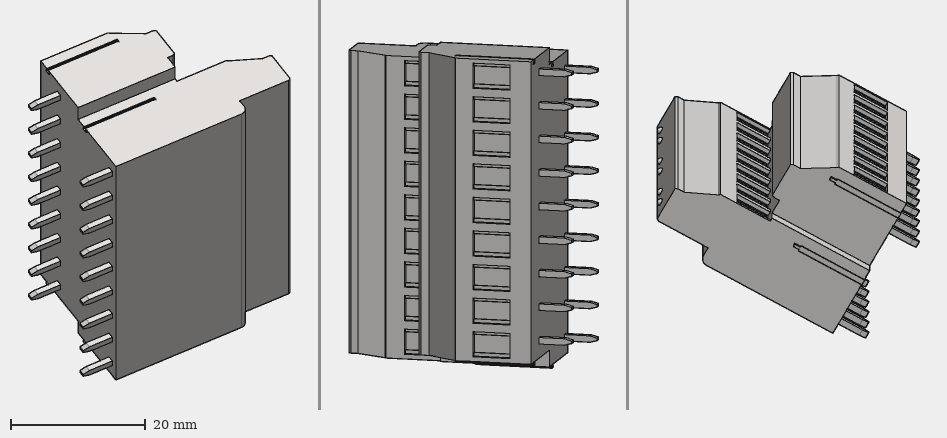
import cadquery as cq

pole_count = 9
pitch = 5.1
row_height = 45.85
row_offset = pitch / 2
joint_x = 11.1
total_width = 22.3
front_top_y = 18.0
tall_top_y = 31.45
joint_top_y = 16.65
top_bevel_width = 0.2
top_bevel_height = 0.4
wall_bevel = 0.2

front_wall_y = 11.55
front_slope_end = (3.0, 16.35)
front_top_right_x = 8.85

tall_wall_x = 11.65
tall_wall_y = 25.1
tall_slope_end = (13.95, 30.0)
tall_top_right_x = 19.8
shoulder_y = 22.65
shoulder_radius = 1.1

window_width = 5.65
window_height = 3.8
window_gap = (pitch - window_height) / 2
window_band = 0.55
window_depth = 0.65
window_extra_depth = 0.2
front_window_y = 3.22
tall_window_y = joint_top_y

dovetail_xs = (2.05, 13.05)
neck_width = 0.45
head_width = 0.9
head_land = 0.2
rib_height = 0.5
rib_length = 11.8
rib_tip_length = 1.0
groove_depth = 0.7
groove_length = 12.05

pin_xs = (5.4, 20.7)
pin_size = 1.0
pin_length = 5.0
pin_taper_length = 1.07
pin_tip_height = 0.4

bump_boundaries = (1, 2, 4, 5, 7, 8)
bump_x = 18.45
bump_radius = 0.55

front_bottom_z = row_offset
front_top_z = front_bottom_z + row_height
tall_top_z = row_height


def row_body(points, bottom_z):
    return cq.Workplane("XY", origin=(0, 0, bottom_z)).polyline(points).close().extrude(row_height)


def wall_and_slope(wall_x, wall_y, slope_end):
    """Outline points from the top of a wall, over its bevel, to the upper end of the slope."""
    return [(wall_x, wall_y), (wall_x + wall_bevel, wall_y + wall_bevel), slope_end]


def beveled_top(left_x, right_x, top_y):
    """Outline points of a flat top with both corners beveled."""
    bevel_y = top_y - top_bevel_height
    return [
        (left_x, bevel_y),
        (left_x + top_bevel_width, top_y),
        (right_x - top_bevel_width, top_y),
        (right_x, bevel_y),
    ]


def front_row():
    outline = [
        (0, 0),
        *wall_and_slope(0, front_wall_y, front_slope_end),
        *beveled_top(front_slope_end[0], front_top_right_x, front_top_y),
        (front_top_right_x, joint_top_y),
        (joint_x, joint_top_y),
        (joint_x, 0),
    ]
    return row_body(outline, front_bottom_z)


def tall_row():
    outline = [
        (joint_x, 0),
        (joint_x, joint_top_y),
        (tall_wall_x, joint_top_y),
        *wall_and_slope(tall_wall_x, tall_wall_y, tall_slope_end),
        *beveled_top(tall_slope_end[0], tall_top_right_x, tall_top_y),
        (tall_top_right_x, shoulder_y),
        (total_width, shoulder_y),
        (total_width, 0),
    ]
    body = row_body(outline, 0)
    shoulder_point = (total_width, shoulder_y, row_height / 2)
    shoulder_edge = body.edges(cq.selectors.NearestToPointSelector(shoulder_point))
    return shoulder_edge.fillet(shoulder_radius)


def windows(wall_x, low_y, row_top_z):
    """Cutters for one column of windows in a wall facing -X."""
    cutters = cq.Workplane("XY")
    middle_height = window_height - 2 * window_band
    for pole in range(pole_count):
        bottom_z = row_top_z - window_gap - window_height - pole * pitch
        recess = cq.Workplane("XY").box(window_depth, window_width, window_height, centered=False)
        middle = (
            cq.Workplane("XY", origin=(0, 0, window_band))
            .box(window_depth + window_extra_depth, window_width, middle_height, centered=False)
        )
        cutters = cutters.add(recess.union(middle).translate((wall_x, low_y, bottom_z)))
    return cutters.combine()


def dovetail(x, face_z, height, length):
    """Dovetail along Y that widens as it goes down from face_z."""
    half_neck = neck_width / 2
    half_head = head_width / 2
    land_z = head_land - height
    profile = [
        (-half_neck, 0),
        (-half_head, land_z),
        (-half_head, -height),
        (half_head, -height),
        (half_head, land_z),
        (half_neck, 0),
    ]
    return cq.Workplane("XZ", origin=(x, 0, face_z)).polyline(profile).close().extrude(-length)


def rib(x, face_z):
    tip = (
        cq.Workplane("XY", origin=(x - neck_width / 2, 0, face_z - rib_height))
        .box(neck_width, rib_length, rib_height, centered=False)
    )
    return dovetail(x, face_z, rib_height, rib_length - rib_tip_length).union(tip)


def pin(x, z):
    """Flat-sided pin pointing toward -Y, tapered in height at its tip."""
    taper_y = pin_taper_length - pin_length
    outline = [
        (0, -pin_size / 2),
        (taper_y, -pin_size / 2),
        (-pin_length, -pin_tip_height / 2),
        (-pin_length, pin_tip_height / 2),
        (taper_y, pin_size / 2),
        (0, pin_size / 2),
    ]
    return cq.Workplane("YZ", origin=(x - pin_size / 2, 0, z)).polyline(outline).close().extrude(pin_size)


def bump(z):
    """Ball sunk halfway into the top of the tall row."""
    return cq.Workplane("XY", origin=(bump_x, tall_top_y, z)).sphere(bump_radius)


front_windows = windows(0, front_window_y, front_top_z)
tall_windows = windows(tall_wall_x, tall_window_y, tall_top_z)
result = front_row().cut(front_windows).union(tall_row().cut(tall_windows))

row_ends = ((front_bottom_z, front_top_z), (0, tall_top_z))
for dovetail_x, pin_x, (bottom_z, top_z) in zip(dovetail_xs, pin_xs, row_ends):
    result = result.cut(dovetail(dovetail_x, top_z, groove_depth, groove_length))
    result = result.union(rib(dovetail_x, bottom_z))
    for pole in range(pole_count):
        result = result.union(pin(pin_x, top_z - (pole + 0.5) * pitch))

for boundary in bump_boundaries:
    result = result.union(bump(tall_top_z - boundary * pitch))